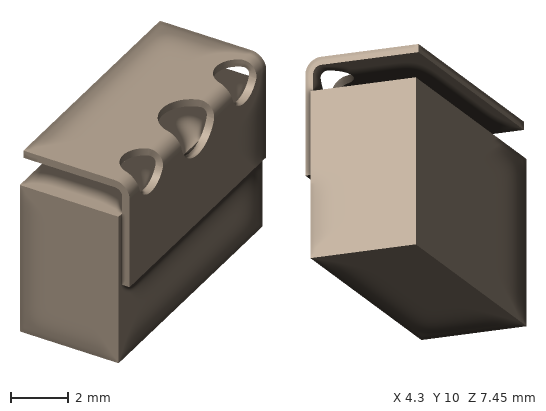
import cadquery as cq
import math

block_depth = 4.0
block_width = 10.0
block_height = 6.15

sheet_thickness = 0.3
sheet_width = 9.5
leg_length = 4.3
inner_radius = 0.3
overall_height = 7.45

neutral_factor = 0.4
centre_hole_diameter = 2.35
side_hole_diameter = 1.75
side_hole_offset = 3.25
bend_section_count = 9

outer_radius = inner_radius + sheet_thickness
block_face = block_depth / 2
sheet_face = block_face + sheet_thickness
bend_x = sheet_face - outer_radius
bend_z = overall_height - outer_radius
neutral_radius = inner_radius + neutral_factor * sheet_thickness
half_bend_length = neutral_radius * math.pi / 4


def make_block():
    return cq.Workplane("XY").box(block_depth, block_width, block_height, centered=(True, True, False))


def make_sheet():
    """L-shaped sheet with a concentric rounded bend."""
    diagonal = math.sqrt(0.5)
    return (
        cq.Workplane("XZ", origin=(0, sheet_width / 2, 0))
        .moveTo(sheet_face - leg_length, overall_height)
        .lineTo(bend_x, overall_height)
        .threePointArc(
            (bend_x + outer_radius * diagonal, bend_z + outer_radius * diagonal),
            (sheet_face, bend_z),
        )
        .lineTo(sheet_face, overall_height - leg_length)
        .lineTo(block_face, overall_height - leg_length)
        .lineTo(block_face, bend_z)
        .threePointArc(
            (bend_x + inner_radius * diagonal, bend_z + inner_radius * diagonal),
            (bend_x, bend_z + inner_radius),
        )
        .lineTo(sheet_face - leg_length, overall_height - sheet_thickness)
        .close()
        .extrude(sheet_width)
    )


def bend_section(angle, hole_radius, hole_y):
    """Radial rectangle as wide as the hole at this angle around the bend."""
    arc_offset = neutral_radius * (angle - math.pi / 4)
    half_width = math.sqrt(hole_radius**2 - arc_offset**2)
    near = inner_radius / 2
    far = outer_radius + inner_radius / 2
    corners = [(near, -half_width), (far, -half_width), (far, half_width), (near, half_width)]
    points = [
        cq.Vector(bend_x + reach * math.cos(angle), hole_y + side, bend_z + reach * math.sin(angle))
        for reach, side in corners
    ]
    return cq.Wire.makePolygon(points, close=True)


def cut_bent_hole(sheet, diameter, hole_y):
    """Cut a round hole that is folded around the bend together with the sheet."""
    radius = diameter / 2

    top_cutter = (
        cq.Workplane("XY", origin=(bend_x + half_bend_length, hole_y, bend_z))
        .circle(radius)
        .extrude(2 * outer_radius)
    )
    top_limit = cq.Workplane("XY").box(
        leg_length, block_width, overall_height, centered=(False, True, False)
    ).translate((bend_x - leg_length, 0, bend_z))

    side_cutter = (
        cq.Workplane("YZ", origin=(bend_x, hole_y, bend_z + half_bend_length))
        .circle(radius)
        .extrude(2 * outer_radius)
    )
    side_limit = cq.Workplane("XY").box(
        leg_length, block_width, bend_z, centered=(False, True, False)
    ).translate((bend_x, 0, 0))

    angles = [math.pi / 2 * step / (bend_section_count - 1) for step in range(bend_section_count)]
    sections = [bend_section(angle, radius, hole_y) for angle in angles]
    bend_cutter = cq.Workplane(obj=cq.Solid.makeLoft(sections))

    return (
        sheet.cut(top_cutter.intersect(top_limit))
        .cut(side_cutter.intersect(side_limit))
        .cut(bend_cutter)
    )


sheet = make_sheet()
sheet = cut_bent_hole(sheet, centre_hole_diameter, 0)
for side in (-1, 1):
    sheet = cut_bent_hole(sheet, side_hole_diameter, side * side_hole_offset)

result = make_block().union(sheet)